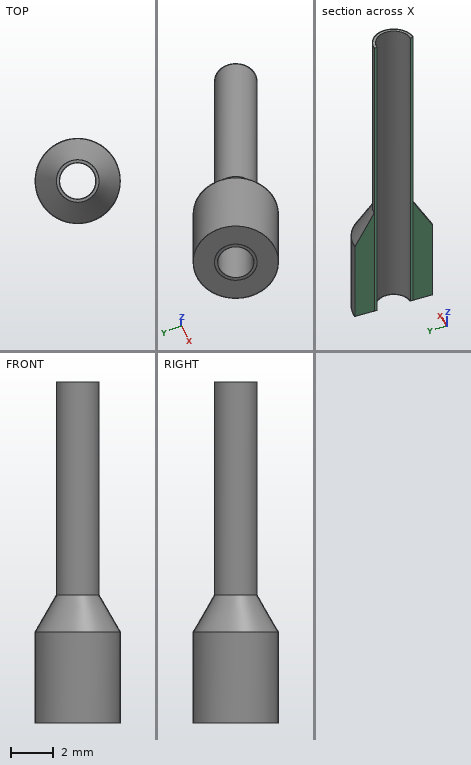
import cadquery as cq
import math

total_length = 16.0
tube_length = 10.0
tube_radius = 1.0
bore_radius = 0.85
collar_radius = 2.0
cone_slope = 60.0

collar_length = total_length - tube_length
cone_height = (collar_radius - tube_radius) * math.tan(math.radians(cone_slope))
skirt_length = collar_length - cone_height


def make_tube():
    """Straight metal tube running the full length of the ferrule."""
    return cq.Workplane("XY").circle(tube_radius).circle(bore_radius).extrude(total_length)


def make_collar():
    """Insulating collar around the tube: a cylindrical skirt tapering to the tube's outer wall."""
    profile = (
        cq.Workplane("XZ")
        .moveTo(tube_radius, 0)
        .lineTo(collar_radius, 0)
        .lineTo(collar_radius, skirt_length)
        .lineTo(tube_radius, collar_length)
        .close()
    )
    return profile.revolve(360, (0, 0, 0), (0, 1, 0))


tube = make_tube()
collar = make_collar()

result = cq.Compound.makeCompound([tube.val(), collar.val()])